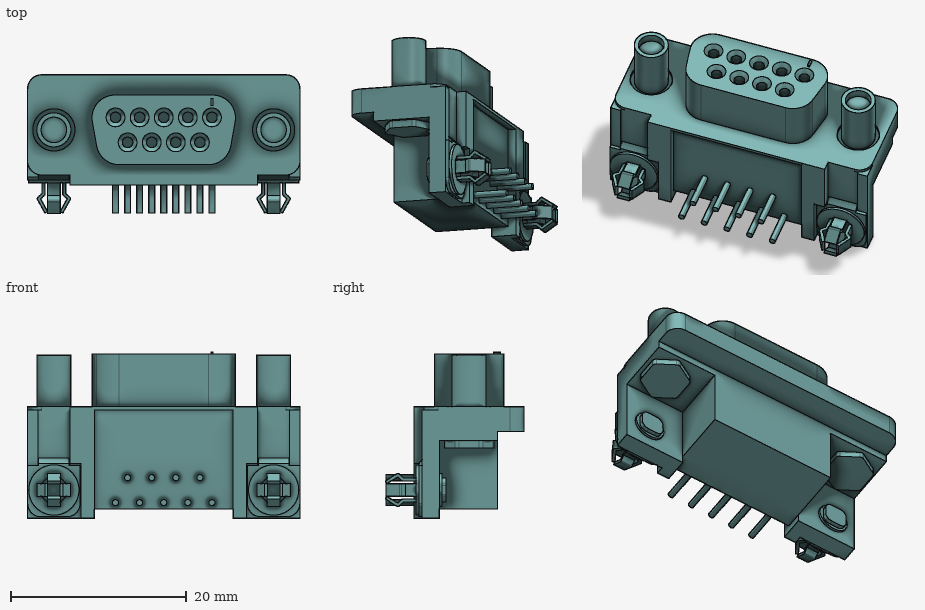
import cadquery as cq
import math


FLANGE_WIDTH = 30.99
FLANGE_DEPTH = 12.55
FLANGE_TOP = 12.7
FLANGE_THICKNESS = 2.83
FLANGE_CORNER_RADIUS = 1.6
LIP_THICKNESS = 0.36
SCREW_SPACING = 24.99

BODY_THICKNESS = 3.87
BODY_BACK_SETBACK = 3.02
FOOT_BACK = -3.375
FOOT_FACE = -5.35
PANEL_WIDTH = 15.77
PANEL_BOTTOM = 1.04

SHELL_DEPTH = 7.91
SHELL_MID_WIDTH = 15.906
SHELL_SIDE_ANGLE = 10.0
SHELL_RADIUS = 2.57
SHELL_HEIGHT = 6.0
KEY_MARK_SIZE = (0.25, 0.8, 0.2)
KEY_MARK_OFFSET = 1.75

TOP_ROW_COUNT = 5
CONTACT_PITCH = 2.742
CONTACT_ROW_SPACING = 2.84
CONTACT_DIAMETER = 1.2
CONTACT_MOUTH_DIAMETER = 2.13
CONTACT_DEPTH = 5.0

PIN_DIAMETER = 0.7
PIN_TIP = -9.475
PIN_LOWER_Z = 1.78

POST_DIAMETER = 3.87
POST_HEIGHT = 5.87
POST_BORE_DIAMETER = 2.9
POST_BORE_DEPTH = 1.0
POST_RECESS_DIAMETER = 4.8
NUT_ACROSS_FLATS = 5.0
NUT_HEIGHT = 0.83
NUT_CORNER_RADIUS = 0.5

STRAP_SLOT_WIDTH = 3.62
STRAP_SLOT_FACE = -5.125
BRACKET_POCKET_WIDTH = 6.17
BRACKET_POCKET_TOP = 6.25
BRACKET_WIDTH = 5.95
BRACKET_TOP = 6.0
BRACKET_BOTTOM = 0.19
BRACKET_FACE = -5.72
BRACKET_RADIUS = 1.47
STRAP_WIDTH = 3.45
CUT_CLEARANCE = 1.0

LOCK_Z = 3.22
LOCK_DISC_DIAMETER = 5.72
LOCK_DISC_FACE = -6.02
LOCK_WELL_DEPTH = 0.2
LOCK_BASE_WIDTH = 2.78
RIVET_WASHER_DIAMETER = 3.72
RIVET_WASHER_THICKNESS = 0.28
RIVET_HEAD_THICKNESS = 0.49
RIVET_HEAD_RADIUS = 0.87
PRONG_WIDTH = 1.47
PRONG_THICKNESS = 0.36
PRONG_STEM_OFFSET = 1.18
PRONG_PEAK_OFFSET = 1.72
PRONG_TIP_OFFSET = 0.86
SIDE_PRONG_STATIONS = (-7.3, -7.82, -9.38)
UPRIGHT_PRONG_STATIONS = (-7.52, -8.1, -9.435)

FLANGE_BACK = FLANGE_DEPTH / 2
FLANGE_FRONT = -FLANGE_DEPTH / 2
FLANGE_SIDE = FLANGE_WIDTH / 2
BODY_BACK = FLANGE_BACK - BODY_BACK_SETBACK
BODY_BOTTOM = FLANGE_TOP - BODY_THICKNESS
LIP_BOTTOM = FLANGE_TOP - LIP_THICKNESS
SHELL_TOP = FLANGE_TOP + SHELL_HEIGHT
SCREW_X = SCREW_SPACING / 2
SLOT_INNER_X = SCREW_X - STRAP_SLOT_WIDTH / 2
ROW_Y = CONTACT_ROW_SPACING / 2


def block(x_range, y_range, z_range):
    """Axis-aligned box given by its two limits along each axis."""
    (x0, x1), (y0, y1), (z0, z1) = x_range, y_range, z_range
    return cq.Workplane("XY").box(x1 - x0, y1 - y0, z1 - z0, centered=False).translate((x0, y0, z0))


def toward_board(y, x=0, z=0):
    """Sketch plane facing -Y, with local X along X and local Y along Z."""
    return cq.Workplane("XZ", origin=(x, y, z))


def mirrored(side_part):
    """The +X part together with its copy on the -X side."""
    return side_part.union(side_part.mirror("YZ"))


def row_positions(count):
    return [(i - (count - 1) / 2) * CONTACT_PITCH for i in range(count)]


def make_housing():
    full_width = (-FLANGE_SIDE, FLANGE_SIDE)
    flange = block(full_width, (FLANGE_FRONT, FLANGE_BACK), (FLANGE_TOP - FLANGE_THICKNESS, FLANGE_TOP))
    flange = flange.edges("|Z and >Y").fillet(FLANGE_CORNER_RADIUS)
    body = block(full_width, (FLANGE_FRONT, BODY_BACK), (BODY_BOTTOM, FLANGE_TOP - FLANGE_THICKNESS))
    feet = block(full_width, (FLANGE_FRONT, FOOT_BACK), (0, BODY_BOTTOM))

    half_panel = PANEL_WIDTH / 2
    panel_width = (-half_panel, half_panel)
    foot_gap = block(panel_width, (FLANGE_FRONT, FOOT_BACK), (0, BODY_BOTTOM))
    panel_recess = block(panel_width, (FLANGE_FRONT, FOOT_FACE), (0, LIP_BOTTOM))
    core = block(panel_width, (FOOT_FACE, BODY_BACK), (PANEL_BOTTOM, BODY_BOTTOM))
    return flange.union(body).union(feet).cut(foot_gap).union(core).cut(panel_recess)


def make_foot_cutout():
    """Material removed from the +X foot: stepped face, lip corner, strap slot and bracket pocket."""
    beyond = FLANGE_SIDE + CUT_CLEARANCE
    front = FLANGE_FRONT - CUT_CLEARANCE
    step = block((SLOT_INNER_X, beyond), (front, FOOT_FACE), (0, FLANGE_TOP))

    strap_slot = block(
        (SLOT_INNER_X, SCREW_X + STRAP_SLOT_WIDTH / 2), (front, STRAP_SLOT_FACE), (BRACKET_TOP, FLANGE_TOP)
    )
    pocket = block(
        (SCREW_X - BRACKET_POCKET_WIDTH / 2, beyond), (front, FOOT_FACE), (0, BRACKET_POCKET_TOP)
    )

    lip_corner = block(
        (SLOT_INNER_X, beyond), (front, STRAP_SLOT_FACE + FLANGE_CORNER_RADIUS), (LIP_BOTTOM, FLANGE_TOP)
    )
    rounded_lip = block((0, FLANGE_SIDE), (STRAP_SLOT_FACE, 0), (LIP_BOTTOM, FLANGE_TOP))
    rounded_lip = rounded_lip.edges("|Z and >X and <Y").fillet(FLANGE_CORNER_RADIUS)
    return step.union(strap_slot).union(pocket).union(lip_corner.cut(rounded_lip))


def make_shell():
    taper = SHELL_DEPTH / 2 * math.tan(math.radians(SHELL_SIDE_ANGLE))
    wide = SHELL_MID_WIDTH / 2 + taper
    narrow = SHELL_MID_WIDTH / 2 - taper
    back = SHELL_DEPTH / 2
    outline = [(-wide, back), (wide, back), (narrow, -back), (-narrow, -back)]
    shell = cq.Workplane("XY", origin=(0, 0, FLANGE_TOP)).polyline(outline).close().extrude(SHELL_HEIGHT)
    return shell.edges("|Z").fillet(SHELL_RADIUS)


def make_key_mark():
    """Raised bar on the shell beside the first contact."""
    first_contact_x = max(row_positions(TOP_ROW_COUNT))
    bar = cq.Workplane("XY").box(*KEY_MARK_SIZE, centered=(True, True, False))
    return bar.translate((first_contact_x, ROW_Y + KEY_MARK_OFFSET, SHELL_TOP))


def make_contact_holes():
    centres = [(x, ROW_Y) for x in row_positions(TOP_ROW_COUNT)]
    centres += [(x, -ROW_Y) for x in row_positions(TOP_ROW_COUNT - 1)]
    hole_radius = CONTACT_DIAMETER / 2
    mouth_radius = CONTACT_MOUTH_DIAMETER / 2
    mouth_depth = mouth_radius - hole_radius
    outline = [
        (0, 0),
        (mouth_radius, 0),
        (hole_radius, -mouth_depth),
        (hole_radius, -CONTACT_DEPTH),
        (0, -CONTACT_DEPTH),
    ]
    hole = cq.Workplane("XZ").polyline(outline).close().revolve(360, (0, 0, 0), (0, 1, 0)).val()
    return cq.Workplane("XY", origin=(0, 0, SHELL_TOP)).pushPoints(centres).eachpoint(
        lambda place: hole.moved(place)
    )


def make_pins():
    upper_z = PIN_LOWER_Z + CONTACT_ROW_SPACING
    centres = [(x, PIN_LOWER_Z) for x in row_positions(TOP_ROW_COUNT)]
    centres += [(x, upper_z) for x in row_positions(TOP_ROW_COUNT - 1)]
    pins = toward_board(FOOT_FACE).pushPoints(centres).circle(PIN_DIAMETER / 2)
    return pins.extrude(FOOT_FACE - PIN_TIP)


def make_post_recess():
    floor = cq.Workplane("XY", origin=(SCREW_X, 0, LIP_BOTTOM))
    return floor.circle(POST_RECESS_DIAMETER / 2).extrude(LIP_THICKNESS)


def make_post():
    post_length = POST_HEIGHT + LIP_THICKNESS
    post = cq.Workplane("XY", origin=(SCREW_X, 0, LIP_BOTTOM)).circle(POST_DIAMETER / 2).extrude(post_length)
    return post.faces(">Z").workplane().hole(POST_BORE_DIAMETER, POST_BORE_DEPTH)


def make_nut():
    """Hexagonal nut under the flange, with two flats facing along X."""
    across_corners = NUT_ACROSS_FLATS / math.cos(math.pi / 6)
    nut = cq.Workplane("XY").polygon(6, across_corners).extrude(-NUT_HEIGHT)
    nut = nut.edges("|Z").fillet(NUT_CORNER_RADIUS).rotate((0, 0, 0), (0, 0, 1), 90)
    return nut.translate((SCREW_X, 0, BODY_BOTTOM))


def make_bracket():
    """Metal plate in the foot pocket, joined to the strap slot by a 45 degree bend."""
    height = BRACKET_TOP - BRACKET_BOTTOM
    plate = toward_board(FOOT_FACE, SCREW_X, BRACKET_BOTTOM + height / 2).rect(BRACKET_WIDTH, height)
    plate = plate.extrude(FOOT_FACE - BRACKET_FACE)
    plate = plate.edges("|Y and <Z").fillet(BRACKET_RADIUS)

    bend_rise = STRAP_SLOT_FACE - BRACKET_FACE
    profile = [
        (STRAP_SLOT_FACE, BRACKET_TOP),
        (BRACKET_FACE, BRACKET_TOP),
        (BRACKET_FACE, BRACKET_POCKET_TOP),
        (STRAP_SLOT_FACE, BRACKET_POCKET_TOP + bend_rise),
    ]
    bend = cq.Workplane("YZ", origin=(SCREW_X, 0, 0)).polyline(profile).close()
    return plate.union(bend.extrude(STRAP_WIDTH / 2, both=True))


def make_prong(stations):
    """Bent strip on the +X side of the lock axis, which runs along Y through the origin."""
    bend_y, peak_y, tip_y = stations
    root_y = LOCK_DISC_FACE + LOCK_WELL_DEPTH
    centreline = cq.Workplane("XY").polyline(
        [
            (PRONG_STEM_OFFSET, root_y),
            (PRONG_STEM_OFFSET, bend_y),
            (PRONG_PEAK_OFFSET, peak_y),
            (PRONG_TIP_OFFSET, tip_y),
        ]
    )
    section = toward_board(root_y, PRONG_STEM_OFFSET).rect(PRONG_THICKNESS, PRONG_WIDTH)
    return section.sweep(centreline, transition="round")


def make_board_lock():
    """Four-pronged snap lock with its disc, and the riveted end behind the foot."""
    disc = toward_board(BRACKET_FACE).circle(LOCK_DISC_DIAMETER / 2).extrude(BRACKET_FACE - LOCK_DISC_FACE)
    well = toward_board(LOCK_DISC_FACE).rect(LOCK_BASE_WIDTH, LOCK_BASE_WIDTH).extrude(-LOCK_WELL_DEPTH)
    well = well.edges("|Y").chamfer((LOCK_BASE_WIDTH - PRONG_WIDTH) / 2)
    lock = disc.cut(well)
    for quarter in range(4):
        stations = UPRIGHT_PRONG_STATIONS if quarter % 2 else SIDE_PRONG_STATIONS
        lock = lock.union(make_prong(stations).rotate((0, 0, 0), (0, 1, 0), 90 * quarter))

    washer = toward_board(FOOT_BACK).circle(RIVET_WASHER_DIAMETER / 2).extrude(-RIVET_WASHER_THICKNESS)
    head = toward_board(FOOT_BACK + RIVET_WASHER_THICKNESS).rect(LOCK_BASE_WIDTH, LOCK_BASE_WIDTH)
    head = head.extrude(-RIVET_HEAD_THICKNESS).edges("|Y").fillet(RIVET_HEAD_RADIUS)
    return lock.union(washer).union(head).translate((SCREW_X, 0, LOCK_Z))


result = make_housing().cut(mirrored(make_foot_cutout())).cut(mirrored(make_post_recess()))
result = result.union(make_shell()).cut(make_contact_holes())
result = result.union(make_key_mark()).union(make_pins())
for side_part in (make_post(), make_nut(), make_bracket(), make_board_lock()):
    result = result.union(mirrored(side_part))